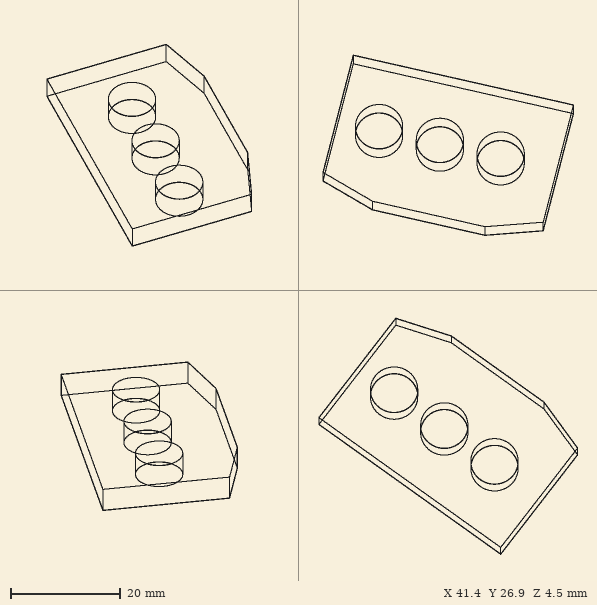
import cadquery as cq

length = 41.4
width = 26.9
thickness = 4.5

corner_length = 10.15
corner_depth = 3.35

hole_diameter = 8.65
hole_count = 3
hole_pitch = 11.43
first_hole_x = 10.7
hole_row_y = 12.45

shoulder_y = width - corner_depth
outline = [
    (0, 0),
    (length, 0),
    (length, shoulder_y),
    (length - corner_length, width),
    (corner_length, width),
    (0, shoulder_y),
]
plate = cq.Workplane("XY").polyline(outline).close().extrude(thickness)

hole_centers = [(first_hole_x + i * hole_pitch, hole_row_y) for i in range(hole_count)]
holes = (
    cq.Workplane("XY")
    .pushPoints(hole_centers)
    .circle(hole_diameter / 2)
    .extrude(thickness)
)

result = plate.cut(holes)